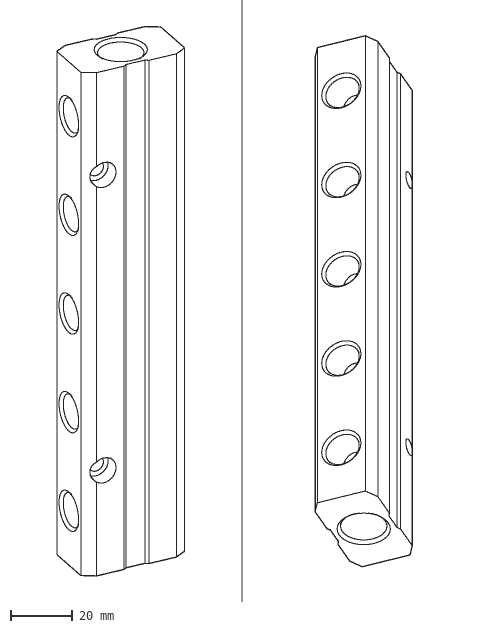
import cadquery as cq

width = 22.0
depth = 38.0
length = 184.0
chamfer_x = 2.5
chamfer_y = 4.5

groove_depth = 0.7
groove_half_mouth = 4.6
groove_half_floor = 3.5

bore_diameter = 15.0
bore_mouth_diameter = 17.3
port_diameter = 11.8
port_mouth_diameter = 13.8
port_count = 5
port_pitch = 36.0

mount_diameter = 5.5
mount_head_diameter = 9.0
mount_head_depth = 5.5
mount_y = -12.0
mount_spacing = 108.0

half_width = width / 2
half_depth = depth / 2
half_length = length / 2


def make_bar():
    """Extrude the chamfered and grooved cross-section, centred on the origin."""
    floor_x = half_width - groove_depth
    right_side = [
        (half_width - chamfer_x, -half_depth),
        (half_width, -half_depth + chamfer_y),
        (half_width, -groove_half_mouth),
        (floor_x, -groove_half_floor),
        (floor_x, groove_half_floor),
        (half_width, groove_half_mouth),
        (half_width, half_depth - chamfer_y),
        (half_width - chamfer_x, half_depth),
    ]
    left_side = [(-x, -y) for x, y in right_side]
    section = cq.Workplane("XY").polyline(right_side + left_side).close()
    return section.extrude(half_length, both=True)


def mouth_cone(center, inward, hole_diameter, mouth_diameter):
    """45 degree countersink that starts at center and narrows along inward."""
    hole_radius = hole_diameter / 2
    mouth_radius = mouth_diameter / 2
    return cq.Workplane(
        cq.Solid.makeCone(
            mouth_radius, hole_radius, mouth_radius - hole_radius, cq.Vector(*center), cq.Vector(*inward)
        )
    )


def cut_bore(body):
    """Cut the main bore through Z with a countersink at each end."""
    body = body.cut(cq.Workplane("XY").circle(bore_diameter / 2).extrude(half_length, both=True))
    for side in (-1, 1):
        end = (0, 0, side * half_length)
        body = body.cut(mouth_cone(end, (0, 0, -side), bore_diameter, bore_mouth_diameter))
    return body


def cut_ports(body):
    """Cut the row of ports through Y with a countersink at each end."""
    for index in range(port_count):
        z = (index - (port_count - 1) / 2) * port_pitch
        port = cq.Workplane("XZ").center(0, z).circle(port_diameter / 2).extrude(half_depth, both=True)
        body = body.cut(port)
        for side in (-1, 1):
            end = (0, side * half_depth, z)
            body = body.cut(mouth_cone(end, (0, -side, 0), port_diameter, port_mouth_diameter))
    return body


def cut_mounting_holes(body):
    """Cut the two mounting holes through X, each counterbored on the +X side."""
    for z in (-mount_spacing / 2, mount_spacing / 2):
        hole = cq.Workplane("YZ").center(mount_y, z).circle(mount_diameter / 2).extrude(half_width, both=True)
        head = (
            cq.Workplane("YZ", origin=(half_width, mount_y, z))
            .circle(mount_head_diameter / 2)
            .extrude(-mount_head_depth)
        )
        body = body.cut(hole).cut(head)
    return body


result = cut_mounting_holes(cut_ports(cut_bore(make_bar())))